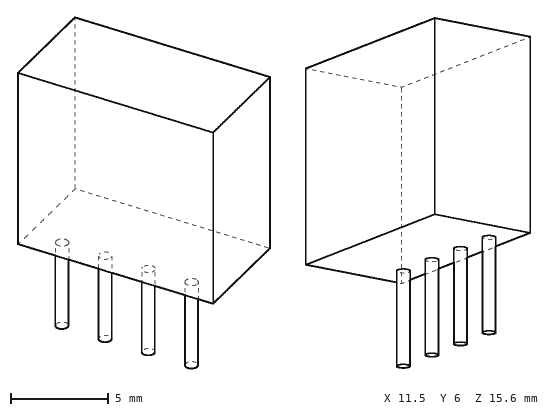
import cadquery as cq

total_height = 15.6
housing_length = 11.5
housing_depth = 6.0
housing_height = 10.5

pin_count = 4
pin_pitch = 2.55
pin_diameter = 0.69
pin_length = total_height - housing_height
row_shift_x = -0.05
pin_to_front = 1.26
pin_y = -housing_depth / 2 + pin_to_front


def make_housing():
    """Plain rectangular block standing on the plane Z = 0."""
    return cq.Workplane("XY").box(
        housing_length, housing_depth, housing_height, centered=(True, True, False)
    )


def make_pin(x):
    """Round pin hanging down from the underside of the housing."""
    return cq.Workplane("XY").center(x, pin_y).circle(pin_diameter / 2).extrude(-pin_length)


housing = make_housing()

first_pin_x = row_shift_x - pin_pitch * (pin_count - 1) / 2
pins = [make_pin(first_pin_x + i * pin_pitch) for i in range(pin_count)]

result = cq.Compound.makeCompound([housing.val(), *[pin.val() for pin in pins]])